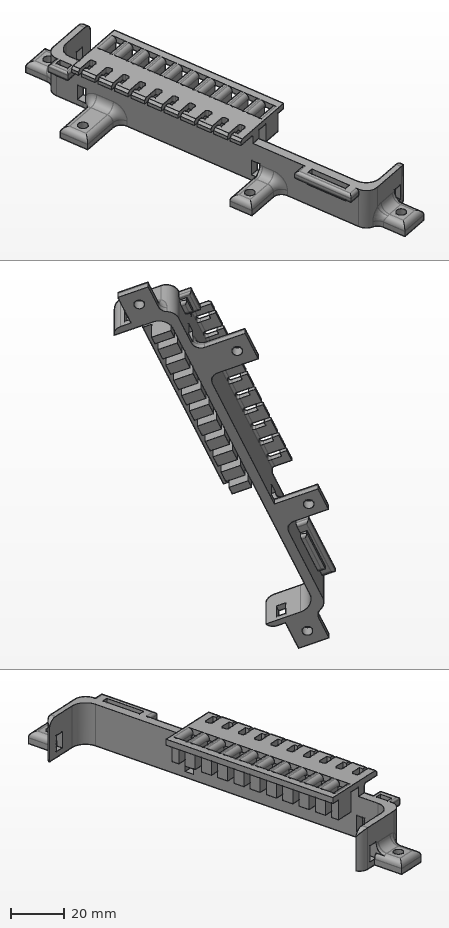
import cadquery as cq
import math

TOTAL_LENGTH = 174.7
FOOT_REACH = 12.7
RAIL_LENGTH = TOTAL_LENGTH - 2 * FOOT_REACH
RAIL_LEFT = -RAIL_LENGTH / 2
RAIL_RIGHT = RAIL_LENGTH / 2
RAIL_HEIGHT = 17.78
WALL_THICKNESS = 3.81
LEFT_ARM_THICKNESS = 2.8
RIGHT_ARM_THICKNESS = 2.4
LEFT_INSIDE = RAIL_LEFT + LEFT_ARM_THICKNESS
RIGHT_INSIDE = RAIL_RIGHT - RIGHT_ARM_THICKNESS
LEFT_ARM_END = 25.4
RIGHT_ARM_END = 24.4
OUTER_CORNER_RADIUS = 5.08
LEFT_INNER_RADIUS = 5.7
RIGHT_INNER_RADIUS = 6.35
ARM_TIP_RADIUS = 3.81

PITCH = 7.62
SLOT_COUNT = 10
PLATE_LEFT = -57.1
PLATE_LENGTH = 78.0
PLATE_RIGHT = PLATE_LEFT + PLATE_LENGTH
PLATE_FRONT = -7.9
PLATE_BACK = 20.0
PLATE_TOP = 24.26
PLATE_THICKNESS = 2.54
PLATE_BOTTOM = PLATE_TOP - PLATE_THICKNESS
PLATE_EDGE_CHAMFER = 1.0
PLATE_ROOT_FILLET = 1.0
FIRST_SLOT_X = PLATE_LEFT + (PLATE_LENGTH - (SLOT_COUNT - 1) * PITCH) / 2
KEY_WIDTH = 2.9
KEY_CORNER_RADIUS = 0.9
KEY_MOUTH_WIDTH = 1.27
KEY_LIP = 2.8

FIN_FRONT = 8.5
FIN_BACK = 16.4
FIN_BOTTOM = 13.2
SLIT_FRONT = 7.4
SLIT_BACK = 16.8
SLIT_WIDTH = 2.9
RIB_FLAT = 0.75
FUNNEL_RADIUS = (PITCH - SLIT_WIDTH - RIB_FLAT) / 2

FOOT_HEIGHT = 5.08
FOOT_ROUND = 2.54
FLARE_RADIUS = 3.81
FOOT_EMBED = 1.5
SIDE_FOOT_Y = 11.2
SIDE_FOOT_WIDTH = 12.4
LEFT_FOOT_WIDTH = 12.7
SCREW_DIAMETER = 4.0
LEFT_FOOT_X = -47.2
LEFT_FOOT_REACH = 20.32
RIGHT_FOOT_X = 27.9
RIGHT_FOOT_REACH = 17.78
RIGHT_FOOT_WIDTH = 10.16
FRONT_SCREW_INSET = 5.9
SIDE_SCREW_INSET = 6.1

WINDOW_BOTTOM = 2.54
WINDOW_TOP = 9.4
WINDOW_WIDTH = 3.81
LEFT_WINDOW_X = -59.95
RIGHT_WINDOW_X = 20.2
SIDE_WINDOW_Y = 16.3
LEFT_WINDOW_END = LEFT_WINDOW_X + WINDOW_WIDTH
RIGHT_WINDOW_END = RIGHT_WINDOW_X + WINDOW_WIDTH
SIDE_WINDOW_END = SIDE_WINDOW_Y + WINDOW_WIDTH

CLIP_REACH = 5.08
CLIP_HEIGHT = 3.81
POUCH_DEPTH = 2.8
POUCH_DROP = 2.54
POUCH_WALL = 0.3
POUCH_ROUND = 1.27
POUCH_FLOOR_RADIUS = 2.5
POUCH_FLOOR_Z = 12.9
LEFT_CLIP_X = -65.3
LEFT_CLIP_WIDTH = 9.14
LEFT_POUCH_WIDTH = 5.9
LEFT_CLIP_ROUND = 0.9
RIGHT_CLIP_X = 56.7
RIGHT_CLIP_WIDTH = 26.0
RIGHT_POUCH_WIDTH = 17.78
RIGHT_CLIP_ROUND = 1.27

PICK_MARGIN = 0.1


def box(x0, x1, y0, y1, z0, z1):
    """Axis-aligned block between two corners."""
    return cq.Workplane("XY").box(x1 - x0, y1 - y0, z1 - z0, centered=False).translate((x0, y0, z0))


def edges_within(solid, low, high):
    """Edges lying completely inside the box from low to high."""
    return solid.edges(cq.selectors.BoxSelector(low, high, boundingbox=True))


def make_rail():
    """Wall and end arms with rounded corners and arm tips."""
    rail = box(RAIL_LEFT, RAIL_RIGHT, 0, LEFT_ARM_END, 0, RAIL_HEIGHT)
    rail = rail.cut(box(LEFT_INSIDE, RIGHT_INSIDE, WALL_THICKNESS, LEFT_ARM_END, 0, RAIL_HEIGHT))
    rail = rail.cut(box(RIGHT_INSIDE, RAIL_RIGHT, RIGHT_ARM_END, LEFT_ARM_END, 0, RAIL_HEIGHT))

    corners = [
        (RAIL_LEFT, 0, OUTER_CORNER_RADIUS),
        (RAIL_RIGHT, 0, OUTER_CORNER_RADIUS),
        (LEFT_INSIDE, WALL_THICKNESS, LEFT_INNER_RADIUS),
        (RIGHT_INSIDE, WALL_THICKNESS, RIGHT_INNER_RADIUS),
    ]
    for x, y, radius in corners:
        low = (x - PICK_MARGIN, y - PICK_MARGIN, -PICK_MARGIN)
        high = (x + PICK_MARGIN, y + PICK_MARGIN, RAIL_HEIGHT + PICK_MARGIN)
        rail = edges_within(rail, low, high).fillet(radius)
    rail = round_arm_tip(rail, RAIL_LEFT, LEFT_INSIDE, LEFT_ARM_END)
    return round_arm_tip(rail, RAIL_RIGHT, RIGHT_INSIDE, RIGHT_ARM_END)


def round_arm_tip(rail, x_outer, x_inner, y_end):
    """Round an arm's tip toward its outer face and at its upper corner."""
    inward = math.copysign(1, x_inner - x_outer)
    y_start = y_end - ARM_TIP_RADIUS
    reach = math.sqrt(ARM_TIP_RADIUS**2 - (ARM_TIP_RADIUS - abs(x_inner - x_outer))**2)
    x_center = x_outer + inward * ARM_TIP_RADIUS
    y_center = y_end - reach
    x_span = sorted((x_outer, x_inner))

    plan_waste = box(*x_span, y_center, y_end, 0, RAIL_HEIGHT)
    plan_keep = cq.Workplane("XY").center(x_center, y_center).circle(ARM_TIP_RADIUS).extrude(RAIL_HEIGHT)
    rail = rail.cut(plan_waste.cut(plan_keep))

    z_center = RAIL_HEIGHT - ARM_TIP_RADIUS
    corner_waste = box(*x_span, y_start, y_end, z_center, RAIL_HEIGHT)
    corner_keep = (
        cq.Workplane("YZ", origin=(x_span[0], 0, 0))
        .center(y_start, z_center)
        .circle(ARM_TIP_RADIUS)
        .extrude(x_span[1] - x_span[0])
    )
    return rail.cut(corner_waste.cut(corner_keep))


def make_foot(width, reach, place):
    """A foot reaching along -Y from its root at Y = 0, moved by `place`."""
    foot = box(-width / 2, width / 2, -reach, FOOT_EMBED, 0, FOOT_HEIGHT)
    foot = foot.faces(">Z").edges("not >Y").fillet(FOOT_ROUND)
    return place(foot)


def to_left(shape):
    """Turn a front-facing foot to reach from the left arm."""
    return shape.rotate((0, 0, 0), (0, 0, 1), -90).translate((RAIL_LEFT, SIDE_FOOT_Y, 0))


def to_right(shape):
    """Turn a front-facing foot to reach from the right arm."""
    return shape.rotate((0, 0, 0), (0, 0, 1), 90).translate((RAIL_RIGHT, SIDE_FOOT_Y, 0))


def to_front(x):
    """Placement of a front foot centred at x."""
    return lambda shape: shape.translate((x, 0, 0))


def add_flared_foot(body, foot, root_low, root_high):
    """Join a foot to the body and blend the corner where they meet."""
    joined = body.union(foot).clean()
    return edges_within(joined, root_low, root_high).fillet(FLARE_RADIUS)


def side_root(x):
    """Region holding the root edges of a side foot whose arm face is at x."""
    y_half = SIDE_FOOT_WIDTH / 2 + PICK_MARGIN
    low = (x - FOOT_EMBED, SIDE_FOOT_Y - y_half, -PICK_MARGIN)
    high = (x + FOOT_EMBED, SIDE_FOOT_Y + y_half, FOOT_HEIGHT + PICK_MARGIN)
    return low, high


def front_root(x, width):
    """Region holding the root edges of a front foot."""
    x_half = width / 2 + PICK_MARGIN
    return (x - x_half, -PICK_MARGIN, -PICK_MARGIN), (x + x_half, PICK_MARGIN, FOOT_HEIGHT + PICK_MARGIN)


def make_mounted_rail():
    """Rail with its four flared feet, tie windows and screw holes."""
    left_foot = make_foot(SIDE_FOOT_WIDTH, FOOT_REACH, to_left)
    right_foot = make_foot(SIDE_FOOT_WIDTH, FOOT_REACH, to_right)
    wide_front_foot = make_foot(LEFT_FOOT_WIDTH, LEFT_FOOT_REACH, to_front(LEFT_FOOT_X))
    narrow_front_foot = make_foot(RIGHT_FOOT_WIDTH, RIGHT_FOOT_REACH, to_front(RIGHT_FOOT_X))

    body = make_rail()
    body = add_flared_foot(body, left_foot, *side_root(RAIL_LEFT))
    body = add_flared_foot(body, right_foot, *side_root(RAIL_RIGHT))
    body = add_flared_foot(body, wide_front_foot, *front_root(LEFT_FOOT_X, LEFT_FOOT_WIDTH))
    body = add_flared_foot(body, narrow_front_foot, *front_root(RIGHT_FOOT_X, RIGHT_FOOT_WIDTH))

    side_end = SIDE_FOOT_Y + SIDE_FOOT_WIDTH / 2 + FLARE_RADIUS
    front_start = RIGHT_FOOT_X - RIGHT_FOOT_WIDTH / 2 - FLARE_RADIUS
    body = body.cut(box(RAIL_LEFT - FLARE_RADIUS, RAIL_LEFT, SIDE_WINDOW_Y, side_end, 0, WINDOW_TOP))
    body = body.cut(box(RAIL_RIGHT, RAIL_RIGHT + FLARE_RADIUS, SIDE_WINDOW_Y, side_end, 0, WINDOW_TOP))
    body = body.cut(box(front_start, RIGHT_WINDOW_END, -FLARE_RADIUS, 0, 0, WINDOW_TOP))
    body = body.union(left_foot).union(right_foot).union(narrow_front_foot)
    return drill_feet(cut_windows(body))


def cut_windows(body):
    """Cut the four tie windows; the left front one also trims the flare beside it."""
    windows = [
        (RAIL_LEFT, LEFT_INSIDE, SIDE_WINDOW_Y, SIDE_WINDOW_END),
        (RIGHT_INSIDE, RAIL_RIGHT, SIDE_WINDOW_Y, SIDE_WINDOW_END),
        (LEFT_WINDOW_X, LEFT_WINDOW_END, -FLARE_RADIUS, WALL_THICKNESS),
        (RIGHT_WINDOW_X, RIGHT_WINDOW_END, 0, WALL_THICKNESS),
    ]
    for window in windows:
        body = body.cut(box(*window, WINDOW_BOTTOM, WINDOW_TOP))
    return body


def drill_feet(body):
    """Drill a screw hole through each foot."""
    side_x = TOTAL_LENGTH / 2 - SIDE_SCREW_INSET
    centers = [
        (-side_x, SIDE_FOOT_Y),
        (side_x, SIDE_FOOT_Y),
        (LEFT_FOOT_X, FRONT_SCREW_INSET - LEFT_FOOT_REACH),
        (RIGHT_FOOT_X, FRONT_SCREW_INSET - RIGHT_FOOT_REACH),
    ]
    return body.cut(cq.Workplane("XY").pushPoints(centers).circle(SCREW_DIAMETER / 2).extrude(FOOT_HEIGHT))


def make_comb():
    """Top plate with its supporting wall, hanging fins and keyed front slots."""
    plate = box(PLATE_LEFT, PLATE_RIGHT, PLATE_FRONT, PLATE_BACK, PLATE_BOTTOM, PLATE_TOP)
    plate = plate.faces("<Y").edges(">Z").chamfer(PLATE_EDGE_CHAMFER)
    wall = box(PLATE_LEFT, PLATE_RIGHT, 0, WALL_THICKNESS, WINDOW_TOP, PLATE_BOTTOM)
    fins = box(PLATE_LEFT, PLATE_RIGHT, FIN_FRONT, FIN_BACK, FIN_BOTTOM, PLATE_BOTTOM)
    comb = plate.union(wall).clean()
    low = (PLATE_LEFT - PICK_MARGIN, -PICK_MARGIN, PLATE_BOTTOM - PICK_MARGIN)
    high = (PLATE_RIGHT + PICK_MARGIN, PICK_MARGIN, PLATE_BOTTOM + PICK_MARGIN)
    root = edges_within(comb, low, high)
    comb = root.fillet(PLATE_ROOT_FILLET).union(fins)
    slit = make_slit()
    key = make_key_slot()
    for index in range(SLOT_COUNT):
        x = FIRST_SLOT_X + index * PITCH
        comb = comb.cut(slit.translate((x, 0, 0))).cut(key.translate((x, 0, 0)))
    return comb


def make_slit():
    """Cutter for one slit between fins, flaring out to a rounded funnel at the top."""
    half = SLIT_WIDTH / 2
    mouth = half + FUNNEL_RADIUS
    z_shoulder = PLATE_TOP - FUNNEL_RADIUS
    return (
        cq.Workplane("XZ", origin=(0, SLIT_BACK, 0))
        .moveTo(-half, FIN_BOTTOM)
        .lineTo(half, FIN_BOTTOM)
        .lineTo(half, z_shoulder)
        .radiusArc((mouth, PLATE_TOP), FUNNEL_RADIUS)
        .lineTo(-mouth, PLATE_TOP)
        .radiusArc((-half, z_shoulder), FUNNEL_RADIUS)
        .close()
        .extrude(SLIT_BACK - SLIT_FRONT)
    )


def make_key_slot():
    """Cutter for one front slot: round-backed pocket with a narrow mouth on its left."""
    half = KEY_WIDTH / 2
    pocket = box(-half, half, PLATE_FRONT + KEY_LIP, 0, FIN_BOTTOM, PLATE_TOP)
    pocket = pocket.edges("|Z and >Y").fillet(KEY_CORNER_RADIUS)
    mouth = box(-half, KEY_MOUTH_WIDTH - half, PLATE_FRONT, PLATE_FRONT + KEY_LIP, FIN_BOTTOM, PLATE_TOP)
    return pocket.union(mouth)


def make_clip(x, width, pouch_width, edge_round):
    """Tie clip: a rounded bar on the wall with a pouch hanging below its slot."""
    bottom = RAIL_HEIGHT - CLIP_HEIGHT
    bar = box(x - width / 2, x + width / 2, -CLIP_REACH, 0, bottom, RAIL_HEIGHT)
    bar = bar.faces("<Z or >Z").edges("not >Y").fillet(edge_round)
    pouch_half = pouch_width / 2
    pouch = box(x - pouch_half, x + pouch_half, -POUCH_DEPTH, 0, bottom - POUCH_DROP, bottom)
    pouch = pouch.faces("<Z").edges("not >Y").fillet(POUCH_ROUND)
    return bar.union(pouch)


def make_clip_slot(x, slot_width):
    """Cutter for a clip's slot, whose floor curves forward away from the wall."""
    center_z = POUCH_FLOOR_Z + POUCH_FLOOR_RADIUS
    return (
        cq.Workplane("YZ", origin=(x - slot_width / 2, 0, 0))
        .moveTo(0, RAIL_HEIGHT)
        .lineTo(0, center_z)
        .radiusArc((-POUCH_FLOOR_RADIUS, POUCH_FLOOR_Z), POUCH_FLOOR_RADIUS)
        .lineTo(-POUCH_FLOOR_RADIUS, RAIL_HEIGHT)
        .close()
        .extrude(slot_width)
    )


def add_clip(body, x, width, pouch_width, edge_round):
    """Join a tie clip to the body and open its slot."""
    body = body.union(make_clip(x, width, pouch_width, edge_round))
    return body.cut(make_clip_slot(x, pouch_width - 2 * POUCH_WALL))


result = make_mounted_rail().union(make_comb())
result = add_clip(result, LEFT_CLIP_X, LEFT_CLIP_WIDTH, LEFT_POUCH_WIDTH, LEFT_CLIP_ROUND)
result = add_clip(result, RIGHT_CLIP_X, RIGHT_CLIP_WIDTH, RIGHT_POUCH_WIDTH, RIGHT_CLIP_ROUND)